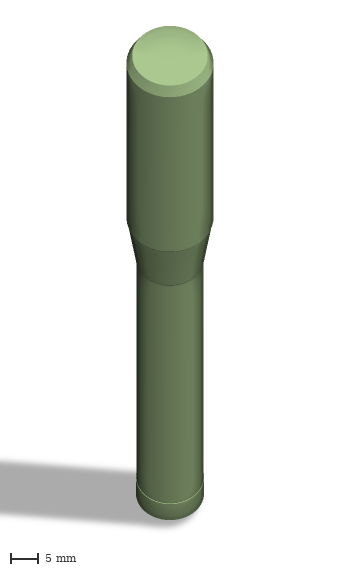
import cadquery as cq

total_length = 132.3
shank_radius = 8.0
head_radius = 6.2
neck_top_radius = 7.8
neck_bottom_radius = 6.2
shaft_radius = 6.1

shank_length = 48.0
bevel_length = 0.3
chamfer_length = 2.1
chamfer_depth = 1.0
neck_length = 11.9
tip_length = 2.2
head_length = 4.8

shank_end = -shank_length
neck_top = shank_end - bevel_length
neck_bottom = neck_top - neck_length
shaft_top = neck_bottom - bevel_length
tip_end = -total_length
head_bottom = tip_end + tip_length
head_top = head_bottom + head_length


def turned(profile):
    """Revolve a closed (radius, z) profile about the Z axis."""
    return cq.Workplane("XZ").polyline(profile).close().revolve(360, (0, 0, 0), (0, 1, 0))


holder = turned([
    (0, 0),
    (shank_radius - chamfer_depth, 0),
    (shank_radius, -chamfer_length),
    (shank_radius, shank_end),
    (neck_top_radius, neck_top),
    (neck_bottom_radius, neck_bottom),
    (shaft_radius, shaft_top),
    (shaft_radius, head_top),
    (0, head_top),
])

cutting_head = turned([
    (0, head_top),
    (head_radius, head_top),
    (head_radius, head_bottom),
    (0, tip_end),
])

result = cq.Compound.makeCompound([holder.val(), cutting_head.val()])